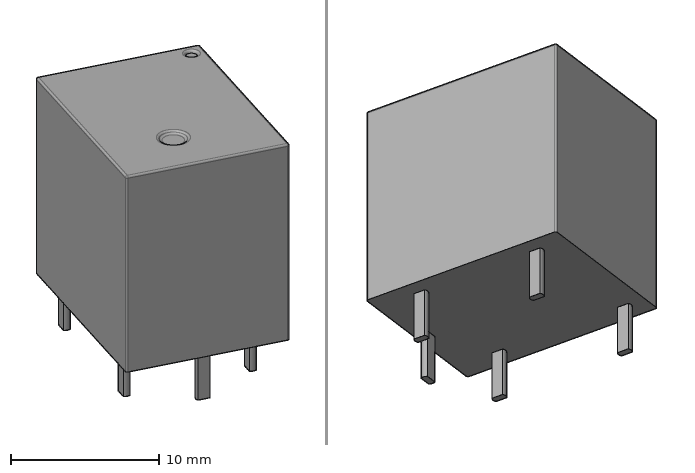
import cadquery as cq

body_length = 15.56
body_width = 11.98
total_height = 18.55
pin_length = 3.6
body_height = total_height - pin_length
edge_radius = 0.15

pin_width = 1.04
pin_thickness = 0.5
pin_end_bulge = 0.07
pin_row_offset = 4.62
contact_pin_front_x = -6.08
contact_pin_back_x = -5.25
coil_pin_x = 4.21
common_pin_x = 6.86

recess_depth = 0.2
vent_diameter = 0.8
vent_corner_inset = 1.0
dimple_x = 3.84
dimple_y = -0.85
dimple_rim_radius = 1.15
dimple_floor_radius = 0.76


def make_body():
    """Block standing on z = 0, with rounded side and top edges and a sharp bottom edge."""
    block = cq.Workplane("XY").box(body_length, body_width, body_height, centered=(True, True, False))
    return block.edges("|Z or >Z").fillet(edge_radius)


def make_pin(x, y, turn=0):
    """Pin hanging below the body, its width along X before it is turned about Z."""
    half_thickness = pin_thickness / 2
    end = pin_width / 2
    shoulder = end - pin_end_bulge
    pin = (
        cq.Workplane("XY")
        .moveTo(-shoulder, -half_thickness)
        .lineTo(shoulder, -half_thickness)
        .threePointArc((end, 0), (shoulder, half_thickness))
        .lineTo(-shoulder, half_thickness)
        .threePointArc((-end, 0), (-shoulder, -half_thickness))
        .close()
        .extrude(-pin_length)
    )
    return pin.rotate((0, 0, 0), (0, 0, 1), turn).translate((x, y, 0))


def make_vent_cutter():
    """Shallow round recess whose wall is one convex quarter round from the top face to the floor."""
    floor_radius = vent_diameter / 2
    rim_radius = floor_radius + recess_depth
    profile = (
        cq.Workplane("XZ")
        .lineTo(0, -recess_depth)
        .lineTo(floor_radius, -recess_depth)
        .radiusArc((rim_radius, 0), recess_depth)
        .close()
    )
    return profile.revolve(360, (0, 0), (0, 1))


def make_dimple_cutter():
    """Shallow round dimple with an S-shaped wall: concave above the floor, convex at the rim."""
    middle = ((dimple_rim_radius + dimple_floor_radius) / 2, -recess_depth / 2)
    profile = (
        cq.Workplane("XZ")
        .lineTo(0, -recess_depth)
        .lineTo(dimple_floor_radius, -recess_depth)
        .tangentArcPoint(middle, relative=False)
        .tangentArcPoint((dimple_rim_radius, 0), relative=False)
        .close()
    )
    return profile.revolve(360, (0, 0), (0, 1))


vent_x = vent_corner_inset - body_length / 2
vent_y = body_width / 2 - vent_corner_inset
body = (
    make_body()
    .cut(make_vent_cutter().translate((vent_x, vent_y, body_height)))
    .cut(make_dimple_cutter().translate((dimple_x, dimple_y, body_height)))
)

pins = [
    make_pin(contact_pin_front_x, -pin_row_offset),
    make_pin(contact_pin_back_x, pin_row_offset),
    make_pin(coil_pin_x, -pin_row_offset),
    make_pin(coil_pin_x, pin_row_offset),
    make_pin(common_pin_x, 0, turn=90),
]

result = body
for pin in pins:
    result = result.union(pin)